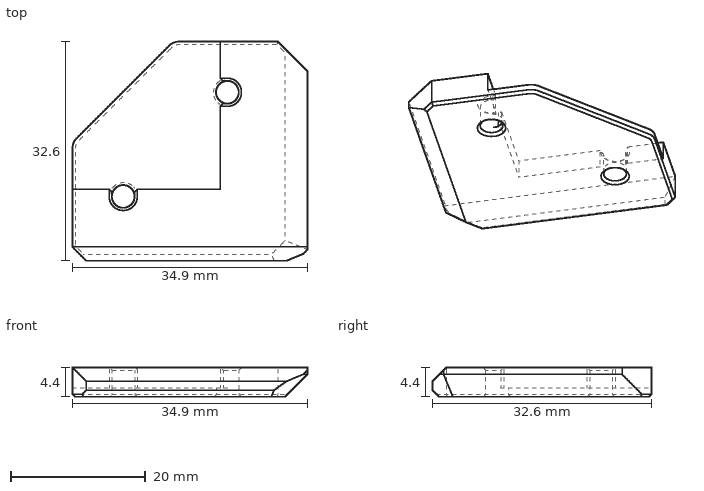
import cadquery as cq
import math

LENGTH = 34.9
WIDTH = 32.55
HEIGHT = 4.4

LEFT_EDGE_END = 17.6
DIAGONAL_RADIUS = 2.0
LEFT_CORNER = 2.05
RIGHT_CORNER = 1.68
BACK_CORNER = LENGTH - WIDTH + LEFT_CORNER

BOTTOM_EDGE = 0.42
FRONT_TOP_BEVEL = 2.05
FRONT_BOTTOM_BEVEL = 1.0
RIGHT_BEVEL = 3.35

FLOOR_HEIGHT = 1.35
STEP_Y = 10.6
STEP_X = WIDTH - STEP_Y

HOLE_RADIUS = 1.68
HOLE_X = 7.55
HOLE_Y = 9.55
HOLE_CHAMFER = 0.42
RIM_RADIUS = HOLE_RADIUS + HOLE_CHAMFER

CUTTER_SIZE = 4 * LENGTH


def make_plate():
    plate = (
        cq.Workplane("XY")
        .moveTo(LEFT_CORNER, 0)
        .lineTo(LENGTH - RIGHT_CORNER, 0)
        .lineTo(LENGTH, RIGHT_CORNER)
        .lineTo(LENGTH, WIDTH - BACK_CORNER)
        .lineTo(LENGTH - BACK_CORNER, WIDTH)
        .lineTo(WIDTH - LEFT_EDGE_END, WIDTH)
        .lineTo(0, LEFT_EDGE_END)
        .lineTo(0, LEFT_CORNER)
        .close()
        .extrude(HEIGHT)
    )
    diagonal_ends = [(0, LEFT_EDGE_END), (WIDTH - LEFT_EDGE_END, WIDTH)]
    for x, y in diagonal_ends:
        corner_edge = cq.selectors.NearestToPointSelector((x, y, HEIGHT / 2))
        plate = plate.edges("|Z").edges(corner_edge).fillet(DIAGONAL_RADIUS)
    return plate.faces("<Z").chamfer(BOTTOM_EDGE)


def bevel(body, point, outward):
    """Remove everything beyond the plane through point, on its outward side."""
    plane = cq.Plane(origin=point, normal=outward)
    cutter = cq.Workplane(plane).rect(CUTTER_SIZE, CUTTER_SIZE).extrude(CUTTER_SIZE)
    return body.cut(cutter)


def cut_outer_bevels(body):
    body = bevel(body, (0, FRONT_TOP_BEVEL, HEIGHT), (0, -1, 1))
    body = bevel(body, (0, FRONT_BOTTOM_BEVEL, 0), (0, -1, -1))
    body = bevel(body, (LENGTH, 0, RIGHT_BEVEL), (1, 0, -1))
    return bevel(body, (LENGTH, RIGHT_CORNER, RIGHT_BEVEL), (1, -1, -math.sqrt(2)))


def cut_recess(body):
    recess = cq.Workplane("XY").box(STEP_X, WIDTH - STEP_Y, HEIGHT, centered=False)
    return body.cut(recess.translate((0, STEP_Y, FLOOR_HEIGHT)))


def flare(workplane, depth):
    """Extrude the trapezoid that widens from the hole width to the rim width."""
    return (
        workplane.moveTo(-RIM_RADIUS, 0)
        .lineTo(RIM_RADIUS, 0)
        .lineTo(HOLE_RADIUS, -HOLE_CHAMFER)
        .lineTo(-HOLE_RADIUS, -HOLE_CHAMFER)
        .close()
        .extrude(depth)
    )


def make_front_hole():
    """Round through hole plus a U-shaped notch in the wall; both hole ends and the mouth are chamfered."""
    depth = HEIGHT - FLOOR_HEIGHT
    hole = cq.Workplane("XY").center(HOLE_X, HOLE_Y).circle(HOLE_RADIUS).extrude(HEIGHT)
    bottom_centre = cq.Vector(HOLE_X, HOLE_Y, 0)
    bottom_cone = cq.Workplane(cq.Solid.makeCone(RIM_RADIUS, HOLE_RADIUS, HOLE_CHAMFER, bottom_centre))
    notch = (
        cq.Workplane("XY", origin=(HOLE_X, HOLE_Y, FLOOR_HEIGHT))
        .moveTo(-HOLE_RADIUS, 0)
        .threePointArc((0, -HOLE_RADIUS), (HOLE_RADIUS, 0))
        .lineTo(HOLE_RADIUS, STEP_Y - HOLE_Y)
        .lineTo(-HOLE_RADIUS, STEP_Y - HOLE_Y)
        .close()
        .extrude(depth)
    )
    rim_base = cq.Vector(HOLE_X, HOLE_Y, HEIGHT - HOLE_CHAMFER)
    rim_cone = cq.Workplane(cq.Solid.makeCone(HOLE_RADIUS, RIM_RADIUS, HOLE_CHAMFER, rim_base))
    rim_sides = flare(cq.Workplane("XZ", origin=(HOLE_X, STEP_Y, HEIGHT)), STEP_Y - HOLE_Y)
    mouth = flare(cq.Workplane("XY", origin=(HOLE_X, STEP_Y, FLOOR_HEIGHT)), depth)
    return hole.union(bottom_cone).union(notch).union(rim_cone).union(rim_sides).union(mouth)


def cut_holes(body):
    """Cut the front hole and its mirror image about the line X + Y = WIDTH."""
    front_hole = make_front_hole()
    back_hole = (
        front_hole.mirror("YZ")
        .rotate((0, 0, 0), (0, 0, 1), 90)
        .translate((WIDTH, WIDTH, 0))
    )
    return body.cut(front_hole).cut(back_hole)


result = cut_holes(cut_recess(cut_outer_bevels(make_plate())))